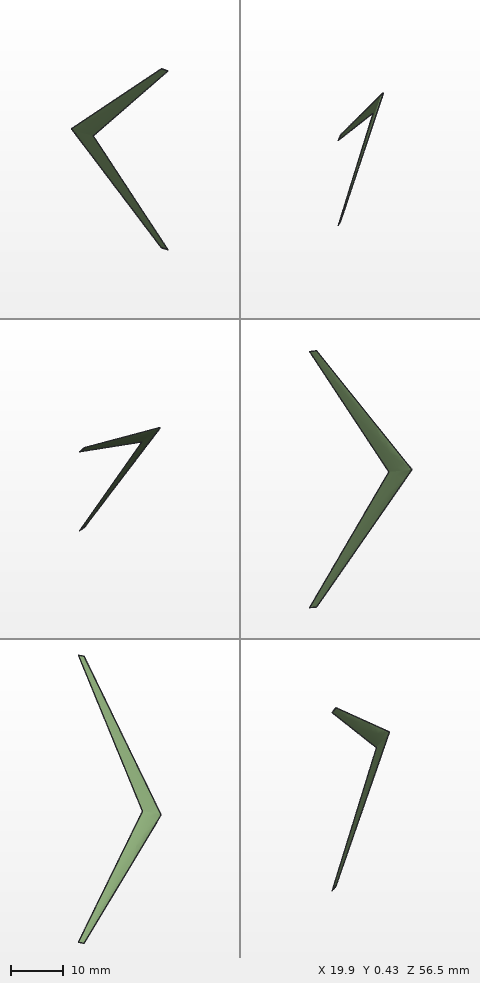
import cadquery as cq
import math

SPAN = 56.45
LENGTH = 19.9
ROOT_CHORD = 4.5
TIP_CHORD = 1.4
ROOT_THICKNESS = 0.43
STATIONS = 12

half_span = SPAN / 2
tip_sweep = LENGTH - TIP_CHORD
thickness_ratio = ROOT_THICKNESS / ROOT_CHORD


def half_thickness(s):
    """Symmetric NACA four-digit half thickness at chord fraction s, closed at the trailing edge."""
    shape = 0.2969 * math.sqrt(s) - 0.1260 * s - 0.3516 * s**2 + 0.2843 * s**3 - 0.1036 * s**4
    return 5 * thickness_ratio * shape


def airfoil(chord, leading_x, z):
    """Closed airfoil wire starting and ending at its sharp trailing edge."""
    points = []
    for i in range(2 * STATIONS + 1):
        angle = math.pi * i / STATIONS
        s = (1 + math.cos(angle)) / 2
        side = 1 if i <= STATIONS else -1
        points.append(cq.Vector(leading_x + chord * s, side * chord * half_thickness(s), z))
    trailing_edge = cq.Vector(leading_x + chord, 0, z)
    points[0] = trailing_edge
    points[-1] = trailing_edge
    upper = cq.Edge.makeSpline(points[:STATIONS + 1])
    lower = cq.Edge.makeSpline(points[STATIONS:])
    return cq.Wire.assembleEdges([upper, lower])


def half_wing(side):
    """Straight tapered panel from the root to the tip on the given side of Z = 0."""
    root = airfoil(ROOT_CHORD, 0, 0)
    tip = airfoil(TIP_CHORD, tip_sweep, side * half_span)
    return cq.Workplane(cq.Solid.makeLoft([root, tip], True))


result = half_wing(1).union(half_wing(-1))